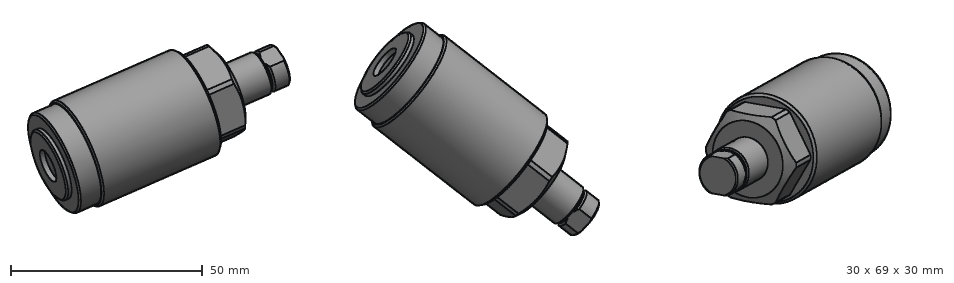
import cadquery as cq
import math


boss_radius = 10.0
boss_length = 1.5
collar_radius = 14.2
collar_end = 7.95
barrel_radius = 15.01
barrel_end = 43.6
front_chamfer = 0.5
rear_chamfer = 0.7
recess_radius = 4.5
recess_depth = boss_length

hex_across_flats = 24.0
hex_corner_radius = 13.49
hex_end = 53.0
hex_face_radius = 10.5
hex_chamfer_angle = 30
stem_radius = 6.0
stem_end = 63.5
stem_chamfer = 0.4
neck_radius = 5.28
tip_radius = 5.8
tip_start = 64.45
tip_end = 69.0
tip_chamfer = 0.4
tip_across_flats = 10.2


def revolve_profile(points):
    """Turn a closed (radius, y) outline about the Y axis."""
    return cq.Workplane("XY").polyline(points).close().revolve(360, (0, 0, 0), (0, 1, 0))


def make_housing():
    body = revolve_profile([
        (0, 0),
        (boss_radius - front_chamfer, 0),
        (boss_radius, front_chamfer),
        (boss_radius, boss_length),
        (collar_radius - front_chamfer, boss_length),
        (collar_radius, boss_length + front_chamfer),
        (collar_radius, collar_end),
        (barrel_radius - front_chamfer, collar_end),
        (barrel_radius, collar_end + front_chamfer),
        (barrel_radius, barrel_end - rear_chamfer),
        (barrel_radius - rear_chamfer, barrel_end),
        (0, barrel_end),
    ])
    recess = revolve_profile([
        (0, 0),
        (recess_radius, 0),
        (recess_radius, recess_depth),
        (0, recess_depth),
    ])
    return body.cut(recess)


def make_hexagon():
    """Hexagon with two flats square to Z, turned corners and a conical rear chamfer."""
    chamfer_length = (hex_corner_radius - hex_face_radius) * math.tan(math.radians(hex_chamfer_angle))
    hex_across_corners = hex_across_flats / math.cos(math.radians(30))
    prism = (
        cq.Workplane("XZ", origin=(0, barrel_end, 0))
        .polygon(6, hex_across_corners)
        .extrude(barrel_end - hex_end)
    )
    envelope = revolve_profile([
        (0, barrel_end),
        (hex_corner_radius, barrel_end),
        (hex_corner_radius, hex_end - chamfer_length),
        (hex_face_radius, hex_end),
        (0, hex_end),
    ])
    return prism.intersect(envelope)


def make_stem():
    return revolve_profile([
        (0, hex_end),
        (stem_radius, hex_end),
        (stem_radius, stem_end - stem_chamfer),
        (stem_radius - stem_chamfer, stem_end),
        (0, stem_end),
    ])


def make_tip():
    """Grooved tip with two opposite flats square to Z."""
    groove_cone_length = tip_radius - neck_radius
    turned = revolve_profile([
        (0, stem_end),
        (neck_radius, stem_end),
        (neck_radius, tip_start - groove_cone_length),
        (tip_radius, tip_start),
        (tip_radius, tip_end - tip_chamfer),
        (tip_radius - tip_chamfer, tip_end),
        (0, tip_end),
    ])
    flats = (
        cq.Workplane("XY")
        .box(2 * tip_radius, tip_end - stem_end, tip_across_flats)
        .translate((0, (stem_end + tip_end) / 2, 0))
    )
    return turned.intersect(flats)


def make_fitting():
    return make_hexagon().union(make_stem()).union(make_tip())


housing = make_housing().solids()
fitting = make_fitting().solids()

result = cq.Compound.makeCompound([housing.val(), fitting.val()])